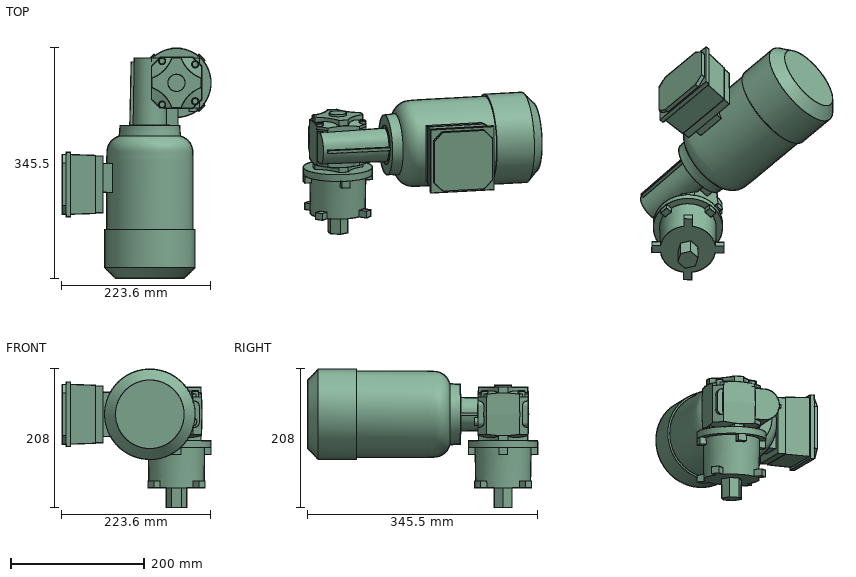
import cadquery as cq
import math

CENTER_DISTANCE = 40.0
OVERLAP = 1.0

Y_WORM_END = 37.5
Y_FLANGE_FRONT = -64.0
Y_FLANGE_STEP = -72.0
Y_FLANGE_BACK = -80.0
Y_SHIELD_SHOULDER = -104.0
Y_SHIELD_END = -114.5
Y_FAN_COVER = -220.0
Y_CONE = -277.5
Y_REAR = -293.5

FLANGE_RADIUS = 45.1
FLANGE_STEP_RADIUS = 45.4
FLANGE_BACK_RADIUS = 46.3
SHIELD_RADIUS = 64.6
MOTOR_RADIUS = 65.0
FAN_COVER_RADIUS = 68.0
REAR_RADIUS = 51.5
SPIGOT_RADIUS = 29.5
SPIGOT_HEIGHT = 0.8

BOX_X = -131.55
BOX_Y = -152.5
LID_HALF, LID_THICKNESS, LID_CHAMFER = 45.0, 6.0, 13.0
RIM_HALF, RIM_THICKNESS = 48.6, 6.6
COVER_INNER_HALF, COVER_DEPTH = 43.7, 37.4
BASE_HALF, BASE_DEPTH = 42.8, 11.5
NECK_WIDTH, NECK_HEIGHT, NECK_Y = 43.6, 66.8, -142.8

WORM_END_RADIUS = 23.5
WORM_FLANGE_RADIUS = 25.3
RIB_THICKNESS = 4.4
RIB_END_Y = 31.5
RIB_END_X = -28.2
RIB_FLANGE_X = -30.3
WEB_X = 42.3

HOUSING_HALF = 38.5
HOUSING_EDGE_HALF = 37.8
HOUSING_CORNER_CUT = 13.5
COVER_SPLIT_Z = 26.0
CAP_Z = 36.0
CAP_SIDE_Z = 32.2
CAP_SLOPE = 0.28
STAR_HALF = 37.0
STAR_ARM_HALF = 7.0
STAR_NOTCH_RADIUS = 26.5
STAR_TOP_Z = 40.7
BOSS_RADIUS, BOSS_TOP_Z = 12.9, 43.9
BOLT_RADIUS, BOLT_TOP_Z, BOLT_CHAMFER = 5.3, 35.4, 1.0
BOLT_POINTS = [(-21.6, 32.7), (-21.6, -32.7), (28.0, 27.7), (28.0, -27.7)]

FILL_LENGTH = 17.5

PAD_X, PAD_WIDTH, PAD_HEIGHT = 66.4, 15.8, 39.6
PAD_FRONT_Y, PAD_BACK_Y = -38.0, 37.0
PLUG_RADIUS, PLUG_X, PLUG_Z, PLUG_FRONT_Y = 6.0, 64.5, -11.2, -42.8

DISC_TOP_Z, DISC_BOTTOM_Z, DISC_RADIUS = -39.6, -50.0, 52.0
BARREL_TOP_RADIUS, BARREL_BOTTOM_RADIUS, BARREL_BOTTOM_Z = 42.5, 41.5, -110.5
LUG_WIDTH, LUG_HEIGHT = 12.8, 10.4
FOOT_REACH = 54.3
SHAFT_END_Z, SHAFT_ACROSS_FLATS = -140.0, 27.0


def box(x_range, y_range, z_range):
    """Axis-aligned block between the given limits."""
    sizes = [high - low for low, high in (x_range, y_range, z_range)]
    return cq.Workplane("XY").box(*sizes, centered=False).translate((x_range[0], y_range[0], z_range[0]))


def output_plane(z):
    """Horizontal workplane centred on the output axis."""
    return cq.Workplane("XY", origin=(CENTER_DISTANCE, 0, z))


def make_motor():
    """Flange, end shield, body and fan cover turned about the motor axis."""
    drop = SHIELD_RADIUS - FLANGE_BACK_RADIUS
    length = Y_FLANGE_BACK - Y_SHIELD_SHOULDER
    dome_radius = (drop**2 + length**2) / (2 * drop)
    half_angle = math.asin(length / dome_radius) / 2
    dome_middle = (
        SHIELD_RADIUS - dome_radius * (1 - math.cos(half_angle)),
        Y_SHIELD_SHOULDER + dome_radius * math.sin(half_angle),
    )
    profile = (
        cq.Workplane("XY")
        .moveTo(0, Y_FLANGE_FRONT + SPIGOT_HEIGHT)
        .lineTo(SPIGOT_RADIUS, Y_FLANGE_FRONT + SPIGOT_HEIGHT)
        .lineTo(SPIGOT_RADIUS, Y_FLANGE_FRONT)
        .lineTo(FLANGE_RADIUS, Y_FLANGE_FRONT)
        .lineTo(FLANGE_STEP_RADIUS, Y_FLANGE_STEP)
        .lineTo(FLANGE_BACK_RADIUS, Y_FLANGE_BACK)
        .threePointArc(dome_middle, (SHIELD_RADIUS, Y_SHIELD_SHOULDER))
        .lineTo(MOTOR_RADIUS, Y_SHIELD_END)
        .lineTo(MOTOR_RADIUS, Y_FAN_COVER)
        .lineTo(FAN_COVER_RADIUS, Y_FAN_COVER)
        .lineTo(FAN_COVER_RADIUS, Y_CONE)
        .lineTo(REAR_RADIUS, Y_REAR)
        .lineTo(0, Y_REAR)
        .close()
    )
    return profile.revolve(360, (0, 0, 0), (0, 1, 0))


def make_terminal_box():
    """Lid, rim, tapered cover, base and neck stacked toward the motor."""
    def square(x, half):
        return cq.Workplane("YZ", origin=(x, BOX_Y, 0)).rect(2 * half, 2 * half)

    rim_x = BOX_X + LID_THICKNESS
    cover_x = rim_x + RIM_THICKNESS
    base_x = cover_x + COVER_DEPTH
    neck_x = base_x + BASE_DEPTH
    lid = square(BOX_X, LID_HALF).extrude(LID_THICKNESS).edges("|X").chamfer(LID_CHAMFER)
    rim = square(rim_x, RIM_HALF).extrude(RIM_THICKNESS)
    cover = (
        square(cover_x, LID_HALF)
        .workplane(offset=COVER_DEPTH)
        .rect(2 * COVER_INNER_HALF, 2 * COVER_INNER_HALF)
        .loft()
    )
    base = square(base_x, BASE_HALF).extrude(BASE_DEPTH)
    neck = box(
        (neck_x - OVERLAP, 0),
        (NECK_Y - NECK_WIDTH / 2, NECK_Y + NECK_WIDTH / 2),
        (-NECK_HEIGHT / 2, NECK_HEIGHT / 2),
    )
    return lid.union(rim).union(cover).union(base).union(neck)


def make_worm_tube():
    """Tapered worm tube with its side rib and the web to the wheel housing."""
    root_y = Y_FLANGE_FRONT - OVERLAP
    tube = (
        cq.Workplane("XY")
        .polyline([(0, Y_WORM_END), (WORM_END_RADIUS, Y_WORM_END), (WORM_FLANGE_RADIUS, root_y), (0, root_y)])
        .close()
        .revolve(360, (0, 0, 0), (0, 1, 0))
    )
    rib_outline = [
        (0, RIB_END_Y), (RIB_END_X, RIB_END_Y), (RIB_FLANGE_X, root_y), (WEB_X, root_y), (WEB_X, 0),
    ]
    ribs = cq.Workplane("XY").polyline(rib_outline).close().extrude(RIB_THICKNESS / 2, both=True)
    return tube.union(ribs)


def housing_section(z, half):
    """Square with cut corners, centred on the output axis."""
    side = half - HOUSING_CORNER_CUT
    points = [
        (half, -side), (half, side), (side, half), (-side, half),
        (-half, side), (-half, -side), (-side, -half), (side, -half),
    ]
    return output_plane(z).polyline(points).close()


def make_cone():
    """Space under the low conical top that trims each end of the housing."""
    top_radius = STAR_HALF - (CAP_Z - CAP_SIDE_Z) / CAP_SLOPE
    outer_radius = HOUSING_HALF * math.sqrt(2)
    outer_z = CAP_SIDE_Z + CAP_SLOPE * (STAR_HALF - outer_radius)
    return (
        cq.Workplane("XZ", origin=(CENTER_DISTANCE, 0, 0))
        .polyline([(0, 0), (outer_radius, 0), (outer_radius, outer_z), (top_radius, CAP_Z), (0, CAP_Z)])
        .close()
        .revolve(360, (0, 0, 0), (0, 1, 0))
    )


def quarter_turn(x, y, count):
    """Point (x, y) turned about the origin by a number of quarter turns."""
    for _ in range(count):
        x, y = -y, x
    return (x, y)


def make_star():
    """Four-armed star between concave notches, running through to both covers."""
    notch = STAR_NOTCH_RADIUS / math.sqrt(2)
    outline = output_plane(-STAR_TOP_Z).moveTo(STAR_HALF, -STAR_ARM_HALF)
    for quarter in range(4):
        arm_corner = quarter_turn(STAR_HALF, STAR_ARM_HALF, quarter)
        notch_middle = quarter_turn(notch, notch, quarter)
        next_arm_corner = quarter_turn(STAR_ARM_HALF, STAR_HALF, quarter)
        outline = outline.lineTo(*arm_corner).threePointArc(notch_middle, next_arm_corner)
    return outline.close().extrude(2 * STAR_TOP_Z)


def make_housing():
    """Wheel housing drafted from its parting plane at z = 0, with its covers, bolts and plug."""
    draft = math.degrees(math.atan((HOUSING_HALF - HOUSING_EDGE_HALF) / COVER_SPLIT_Z))
    cone = make_cone()
    upper = housing_section(0, HOUSING_HALF).extrude(COVER_SPLIT_Z, taper=draft)
    lower = housing_section(0, HOUSING_HALF).extrude(-CAP_Z, taper=draft).intersect(cone.mirror("XY"))
    cover = housing_section(COVER_SPLIT_Z, HOUSING_EDGE_HALF).extrude(CAP_Z - COVER_SPLIT_Z).intersect(cone)
    boss = output_plane(0).circle(BOSS_RADIUS).extrude(BOSS_TOP_Z)
    bolts = (
        output_plane(COVER_SPLIT_Z)
        .pushPoints(BOLT_POINTS)
        .circle(BOLT_RADIUS)
        .extrude(BOLT_TOP_Z - COVER_SPLIT_Z)
        .faces(">Z")
        .chamfer(BOLT_CHAMFER)
    )
    pad = (
        cq.Workplane("XZ", origin=(PAD_X, PAD_BACK_Y, 0))
        .slot2D(PAD_HEIGHT, PAD_WIDTH, 90)
        .extrude(PAD_BACK_Y - PAD_FRONT_Y)
    )
    plug = cq.Workplane("XZ", origin=(PLUG_X, 0, PLUG_Z)).circle(PLUG_RADIUS).extrude(-PLUG_FRONT_Y)
    housing_side_x = CENTER_DISTANCE - HOUSING_EDGE_HALF
    corner_fill = box(
        (housing_side_x, housing_side_x + FILL_LENGTH),
        (Y_WORM_END - FILL_LENGTH, Y_WORM_END),
        (-WORM_END_RADIUS, WORM_END_RADIUS),
    )
    housing = upper.union(lower).union(cover).union(make_star())
    return housing.union(boss).union(bolts).union(pad).union(plug).union(corner_fill)


def make_lugs(reach, bottom_z, first_angle):
    """Four square lugs spaced evenly about the output axis."""
    lugs = cq.Workplane("XY")
    lug = box((0, reach), (-LUG_WIDTH / 2, LUG_WIDTH / 2), (bottom_z, bottom_z + LUG_HEIGHT))
    for quarter in range(4):
        turned = lug.rotate((0, 0, 0), (0, 0, 1), first_angle + 90 * quarter)
        lugs = lugs.union(turned.translate((CENTER_DISTANCE, 0, 0)))
    return lugs


def make_output():
    """Output disc, tapered barrel, lugs, feet and hexagonal shaft."""
    disc = output_plane(DISC_BOTTOM_Z).circle(DISC_RADIUS).extrude(DISC_TOP_Z - DISC_BOTTOM_Z)
    barrel = (
        output_plane(DISC_BOTTOM_Z)
        .circle(BARREL_TOP_RADIUS)
        .workplane(offset=BARREL_BOTTOM_Z - DISC_BOTTOM_Z)
        .circle(BARREL_BOTTOM_RADIUS)
        .loft()
    )
    upper_lugs = make_lugs(DISC_RADIUS, DISC_BOTTOM_Z - LUG_HEIGHT, 0)
    feet = make_lugs(FOOT_REACH, BARREL_BOTTOM_Z, 45)
    across_corners = SHAFT_ACROSS_FLATS / math.cos(math.pi / 6)
    shaft_length = BARREL_BOTTOM_Z - SHAFT_END_Z + OVERLAP
    shaft = output_plane(SHAFT_END_Z).polygon(6, across_corners).extrude(shaft_length)
    return disc.union(barrel).union(upper_lugs).union(feet).union(shaft)


result = (
    make_motor()
    .union(make_terminal_box())
    .union(make_worm_tube())
    .union(make_housing())
    .union(make_output())
)